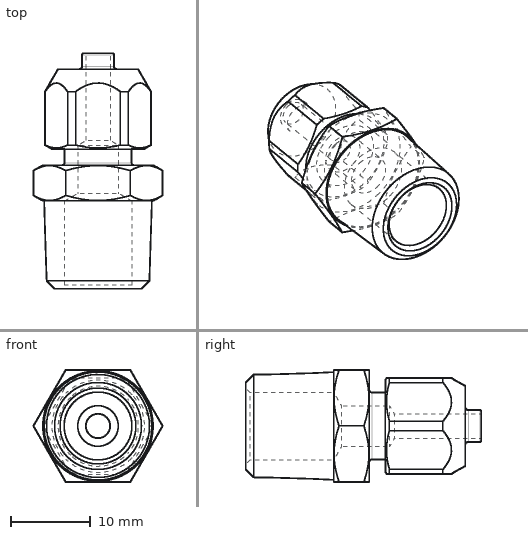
import cadquery as cq
import math

hex_start = 11.0
hex_end = 15.5
nut_start = 17.5
nut_end = 27.5
length = 29.5

thread_chamfer = 1.0
thread_root_radius = 6.75
thread_taper = 1 / 32
thread_front_radius = thread_root_radius - thread_taper * (hex_start - thread_chamfer)

body_flats = 14.0
body_face_radius = 6.9
envelope_margin = 0.3
nut_flats = 12.05
nut_corner_radius = 6.65
nut_back_face_radius = 5.78
nut_nose_radius = 5.02
corner_slope = math.tan(math.radians(30))
nut_cone_slope = math.tan(math.radians(60))

neck_radius = 4.22
neck_fillet = 0.27
tip_radius = 2.0
tip_base_fillet = 0.35
tip_edge_round = 0.2

bore_radius = 4.25
bore_chamfer = 0.5
bore_depth = 11.0
middle_radius = 2.55
middle_depth = 18.0
through_radius = 1.5
drill_cone_slope = math.tan(math.radians(30))


def revolve_profile(points):
    """Revolve a closed outline of (radius, y) points about the Y axis."""
    return cq.Workplane("XY").polyline(points).close().revolve(360, (0, 0, 0), (0, 1, 0))


def cylinder(radius, start, end):
    """Solid cylinder along Y."""
    return cq.Workplane("XZ", origin=(0, start, 0)).circle(radius).extrude(start - end)


def hex_prism(flats, start, end):
    """Hexagonal prism along Y with corners on the X axis."""
    corner_diameter = flats / math.cos(math.pi / 6)
    return cq.Workplane("XZ", origin=(0, start, 0)).polygon(6, corner_diameter).extrude(start - end)


def make_thread():
    return revolve_profile([
        (0, 0),
        (thread_front_radius - thread_chamfer, 0),
        (thread_front_radius, thread_chamfer),
        (thread_root_radius, hex_start),
        (0, hex_start),
    ])


def make_body_hex():
    """Hexagon with both ends chamfered at the corners."""
    outer_radius = body_flats / math.sqrt(3) + envelope_margin
    chamfer_height = (outer_radius - body_face_radius) * corner_slope
    envelope = revolve_profile([
        (0, hex_start),
        (body_face_radius, hex_start),
        (outer_radius, hex_start + chamfer_height),
        (outer_radius, hex_end - chamfer_height),
        (body_face_radius, hex_end),
        (0, hex_end),
    ])
    return hex_prism(body_flats, hex_start, hex_end).intersect(envelope)


def make_nut():
    """Hexagon with turned corners, a long nose cone and a small rear chamfer."""
    nose_height = (nut_corner_radius - nut_nose_radius) * nut_cone_slope
    rear_height = (nut_corner_radius - nut_back_face_radius) * corner_slope
    envelope = revolve_profile([
        (0, nut_start),
        (nut_back_face_radius, nut_start),
        (nut_corner_radius, nut_start + rear_height),
        (nut_corner_radius, nut_end - nose_height),
        (nut_nose_radius, nut_end),
        (0, nut_end),
    ])
    return hex_prism(nut_flats, nut_start, nut_end).intersect(envelope)


def make_base_fillet(radius, face, fillet):
    """Ring that blends a shaft into the face at its base."""
    bend = fillet * (1 - math.sqrt(0.5))
    return (
        cq.Workplane("XY")
        .moveTo(0, face)
        .lineTo(radius + fillet, face)
        .threePointArc((radius + bend, face + bend), (radius, face + fillet))
        .lineTo(0, face + fillet)
        .close()
        .revolve(360, (0, 0, 0), (0, 1, 0))
    )


def make_bore():
    bore_cone = (bore_radius - middle_radius) * drill_cone_slope
    middle_cone = (middle_radius - through_radius) * drill_cone_slope
    return revolve_profile([
        (0, 0),
        (bore_radius + bore_chamfer, 0),
        (bore_radius, bore_chamfer),
        (bore_radius, bore_depth),
        (middle_radius, bore_depth + bore_cone),
        (middle_radius, middle_depth),
        (through_radius, middle_depth + middle_cone),
        (through_radius, length),
        (0, length),
    ])


neck = cylinder(neck_radius, hex_end, nut_start)
tip = cylinder(tip_radius, nut_end, length).faces(">Y").edges().fillet(tip_edge_round)

result = (
    make_thread()
    .union(make_body_hex())
    .union(neck)
    .union(make_base_fillet(neck_radius, hex_end, neck_fillet))
    .union(make_nut())
    .union(tip)
    .union(make_base_fillet(tip_radius, nut_end, tip_base_fillet))
    .cut(make_bore())
)